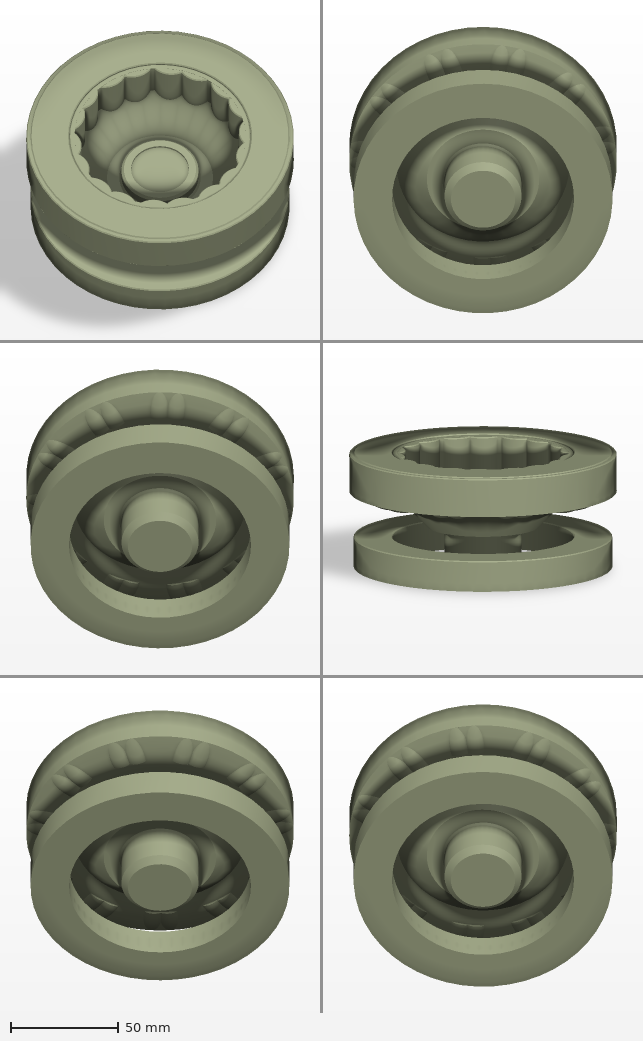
import cadquery as cq
import math

overall_height = 55.2
edge_chamfer = 0.5

wheel_diameter = 125
rim_top = overall_height - edge_chamfer
rim_corner_height = 36.8
rim_bottom = 34.6
rim_flat_diameter = 90
bore_diameter = 80

ring_outer_diameter = 121.0
ring_inner_diameter = 85
ring_thickness = 14.5
groove_floor = overall_height - ring_thickness
loose_ring_bottom = 0.8

web_bottom = 20
web_floor = 23.0
web_bottom_diameter = 52.5
web_floor_diameter = 49.5
web_underside_angle = 46
web_cavity_cone_top = 38.0

hub_diameter = 36.0
hub_height = 29.5
hub_bottom_diameter = 30
hub_top_diameter = 33.8
hub_recess_diameter = 27.0
hub_recess_depth = 1.0
bead_leg = 1.0

bore_lobe_pairs = 9
bore_lobe_radius = 10.6
bore_lobe_crest = 36.9
bore_lobe_half_spacing = 8.7
bore_lobe_first_angle = 12
bore_lobe_step = 0.1

under_lobe_pairs = 11
under_lobe_radius = 7.5
under_lobe_crest = 33.4
under_lobe_inner_radius = 48.8
under_lobe_half_spacing = 4.1
under_lobe_first_angle = 21.1

wheel_radius = wheel_diameter / 2
bore_radius = bore_diameter / 2
web_underside_slope = math.tan(math.radians(web_underside_angle))


def revolve(outline):
    """Turn an outline of (radius, height) points fully around the wheel axis."""
    return outline.close().revolve(360, (0, 0, 0), (0, 1, 0))


def cylinder(diameter, bottom, top):
    return cq.Workplane("XY").workplane(offset=bottom).circle(diameter / 2).extrude(top - bottom)


def paired_angles(pairs, first_angle, half_spacing):
    """Angles of lobes that stand in evenly spaced pairs."""
    angles = []
    for index in range(pairs):
        centre = first_angle + index * 360 / pairs
        angles += [centre - half_spacing, centre + half_spacing]
    return angles


def arc_tangent_to_level(flat_radius, level):
    """Middle point of the arc that leaves a level bottom and climbs to the rim corner."""
    run = wheel_radius - flat_radius
    rise = rim_corner_height - level
    arc_radius = (run**2 + rise**2) / (2 * rise)
    half_angle = math.asin(run / arc_radius) / 2
    return (
        flat_radius + arc_radius * math.sin(half_angle),
        level + arc_radius * (1 - math.cos(half_angle)),
    )


def under_lobe(angle):
    """Round bar laid radially under the rim, its crest curving up to the rim corner."""
    crest_middle = arc_tangent_to_level(under_lobe_inner_radius, under_lobe_crest)
    path = (
        cq.Workplane("XZ")
        .moveTo(under_lobe_inner_radius, under_lobe_crest)
        .threePointArc(crest_middle, (wheel_radius, rim_corner_height))
    )
    bar = (
        cq.Workplane("YZ", origin=(under_lobe_inner_radius, 0, under_lobe_crest))
        .center(0, under_lobe_radius)
        .circle(under_lobe_radius)
        .sweep(path)
    )
    return bar.rotate((0, 0, 0), (0, 0, 1), angle)


def bore_lobe(angle):
    """Upright round bar set into the bore wall, with a chamfered top edge."""
    bar = (
        cylinder(2 * bore_lobe_radius, web_floor, rim_top - bore_lobe_step)
        .faces(">Z")
        .chamfer(edge_chamfer)
        .translate((bore_lobe_crest + bore_lobe_radius, 0, 0))
    )
    return bar.rotate((0, 0, 0), (0, 0, 1), angle)


def web_cavity():
    """Funnel above the web: a flat floor, a cone and the straight bore."""
    floor_radius = web_floor_diameter / 2
    return revolve(
        cq.Workplane("XZ")
        .moveTo(0, web_floor)
        .lineTo(floor_radius, web_floor)
        .lineTo(bore_radius, web_cavity_cone_top)
        .lineTo(bore_radius, rim_top)
        .lineTo(0, rim_top)
    )


def make_wheel():
    web_radius = web_bottom_diameter / 2
    flat_radius = rim_flat_diameter / 2
    blank = revolve(
        cq.Workplane("XZ")
        .moveTo(0, web_bottom)
        .lineTo(web_radius, web_bottom)
        .lineTo(web_radius + (rim_bottom - web_bottom) / web_underside_slope, rim_bottom)
        .lineTo(flat_radius, rim_bottom)
        .threePointArc(arc_tangent_to_level(flat_radius, rim_bottom), (wheel_radius, rim_corner_height))
        .lineTo(wheel_radius, rim_top - edge_chamfer)
        .lineTo(wheel_radius - edge_chamfer, rim_top)
        .lineTo(0, rim_top)
    )
    envelope = cylinder(wheel_diameter, web_bottom, rim_top)
    for angle in paired_angles(under_lobe_pairs, under_lobe_first_angle, under_lobe_half_spacing):
        blank = blank.union(under_lobe(angle).intersect(envelope))

    bore = web_cavity()
    for angle in paired_angles(bore_lobe_pairs, bore_lobe_first_angle, bore_lobe_half_spacing):
        bore = bore.cut(bore_lobe(angle))

    groove = cylinder(ring_outer_diameter, groove_floor, rim_top).cut(
        cylinder(ring_inner_diameter, groove_floor, rim_top).faces(">Z").chamfer(edge_chamfer)
    )
    return (
        blank.cut(bore)
        .cut(groove)
        .cut(cylinder(hub_diameter, web_bottom, web_floor))
    )


def make_cover_ring(bottom):
    return (
        cylinder(ring_outer_diameter, bottom, bottom + ring_thickness)
        .cut(cylinder(ring_inner_diameter, bottom, bottom + ring_thickness))
        .faces(">Z")
        .chamfer(edge_chamfer)
    )


def make_hub():
    bottom_chamfer = (hub_diameter - hub_bottom_diameter) / 2
    top_chamfer = (hub_diameter - hub_top_diameter) / 2
    return (
        cylinder(hub_diameter, 0, hub_height)
        .faces("<Z")
        .chamfer(bottom_chamfer)
        .faces(">Z")
        .chamfer(top_chamfer)
        .cut(cylinder(hub_recess_diameter, hub_height - hub_recess_depth, hub_height))
    )


def make_weld_bead(level, direction):
    """Triangular ring filling the corner between the hub and one face of the web."""
    hub_radius = hub_diameter / 2
    return revolve(
        cq.Workplane("XZ")
        .moveTo(hub_radius, level)
        .lineTo(hub_radius + bead_leg, level)
        .lineTo(hub_radius, level + direction * bead_leg)
    )


wheel = make_wheel()
hub = make_hub()
cover_rings = [make_cover_ring(bottom) for bottom in (loose_ring_bottom, groove_floor)]
weld_beads = [make_weld_bead(level, direction) for level, direction in ((web_bottom, -1), (web_floor, 1))]

result = cq.Compound.makeCompound(
    [body.val() for body in [wheel, hub, *cover_rings, *weld_beads]]
)